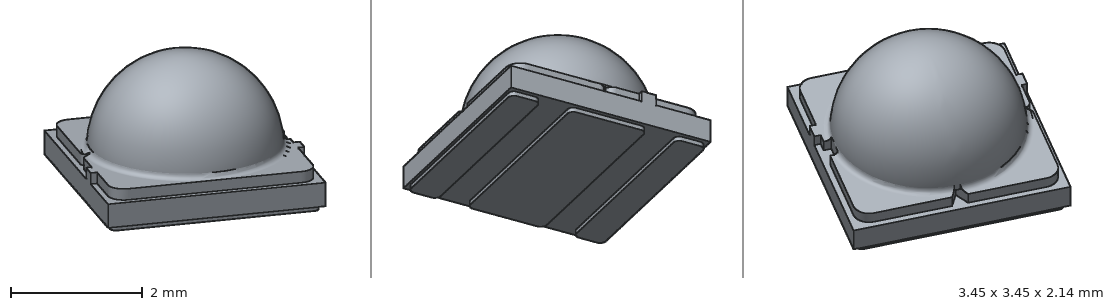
import cadquery as cq
import math

total_height = 2.14
pad_thickness = 0.075
base_thickness = 0.383
layer_thickness = 0.18
base_top = pad_thickness + base_thickness
layer_top = base_top + layer_thickness

base_side = 3.45
layer_side = 3.245
layer_corner_radius = 0.25
base_half = base_side / 2
layer_half = layer_side / 2

lens_x = 0.017
lens_radius = total_height - layer_top
blend_radius = 0.1

tab_width = 0.25
front_tab_x = 0.66
back_tab_x = 0.45

ledge_width = 0.015

notch_height = layer_thickness + blend_radius
back_notch_width = 0.338
side_notch_half_width = 0.128
side_notch_depth = 0.228
front_notch_left = -0.025
front_notch_right = 0.017
front_notch_end = -1.525
front_notch_right_radius = 0.12
front_notch_left_radius = layer_half + front_notch_end

pad_length = 3.305
pad_corner_radius = 0.1
outer_pad_width = 0.507
center_pad_width = 1.315
outer_pad_x = 1.43

cos_45 = math.cos(math.radians(45))


def block(x_min, x_max, y_min, y_max, z_min, height):
    """Box given by its X and Y limits, its bottom and its height."""
    return (
        cq.Workplane("XY")
        .box(x_max - x_min, y_max - y_min, height, centered=False)
        .translate((x_min, y_min, z_min))
    )


def rounded_plate(x_center, width, length, height, corner_radius, z_min):
    """Flat plate with rounded vertical edges, centred on Y = 0."""
    return (
        cq.Workplane("XY")
        .box(width, length, height, centered=(True, True, False))
        .edges("|Z")
        .fillet(corner_radius)
        .translate((x_center, 0, z_min))
    )


def make_pad(x_center, width):
    return rounded_plate(x_center, width, pad_length, pad_thickness, pad_corner_radius, 0)


def make_layer():
    """Lens layer with its tabs and front ledge."""
    layer = rounded_plate(
        0, layer_side, layer_side, layer_thickness, layer_corner_radius, base_top
    )
    for x_center, y_min, y_max in ((front_tab_x, -base_half, 0), (back_tab_x, 0, base_half)):
        x_min = x_center - tab_width / 2
        tab = block(x_min, x_min + tab_width, y_min, y_max, base_top, layer_thickness)
        layer = layer.union(tab)
    ledge = block(
        front_notch_right, front_tab_x, -layer_half - ledge_width, 0, base_top, layer_thickness
    )
    return layer.union(ledge)


def make_blend_ring():
    """Concave fillet ring around the foot of the lens."""
    blend_top = layer_top + blend_radius
    lens_radius_at_blend_top = math.sqrt(lens_radius**2 - blend_radius**2)
    outer_radius = lens_radius_at_blend_top + blend_radius
    mid_offset = blend_radius * cos_45
    return (
        cq.Workplane("XZ")
        .moveTo(0, layer_top)
        .lineTo(outer_radius, layer_top)
        .threePointArc(
            (outer_radius - mid_offset, blend_top - mid_offset),
            (lens_radius_at_blend_top, blend_top),
        )
        .lineTo(0, blend_top)
        .close()
        .revolve(360, (0, 0), (0, 1))
        .translate((lens_x, 0, 0))
    )


def make_lens():
    """Upper half of a sphere resting on the layer, its seam turned to the side notch at -X."""
    return (
        cq.Workplane("XY")
        .sphere(lens_radius, angle1=0)
        .rotate((0, 0, 0), (0, 0, 1), 180)
        .translate((lens_x, 0, layer_top))
    )


def make_back_notch():
    """Straight notch at the back, running in to the rim of the lens."""
    half_width = back_notch_width / 2
    return block(-half_width, half_width, lens_radius, base_half, base_top, notch_height)


def make_side_notch():
    """V-shaped notch on the left side, its point lying under the lens."""
    return (
        cq.Workplane("XY", origin=(0, 0, base_top))
        .moveTo(-layer_half, -side_notch_half_width)
        .lineTo(-layer_half + side_notch_depth, 0)
        .lineTo(-layer_half, side_notch_half_width)
        .close()
        .extrude(notch_height)
    )


def make_front_notch():
    """Narrow notch at the front, with a rounded mouth on both sides."""
    ledge_y = -layer_half - ledge_width
    left_bulge = front_notch_left_radius * (1 - cos_45)
    right_bulge = front_notch_right_radius * (1 - cos_45)
    return (
        cq.Workplane("XY", origin=(0, 0, base_top))
        .moveTo(front_notch_left, front_notch_end)
        .threePointArc(
            (front_notch_left - left_bulge, -layer_half + left_bulge),
            (front_notch_left - front_notch_left_radius, -layer_half),
        )
        .lineTo(front_notch_left - front_notch_left_radius, ledge_y)
        .lineTo(front_notch_right + front_notch_right_radius, ledge_y)
        .threePointArc(
            (front_notch_right + right_bulge, ledge_y + right_bulge),
            (front_notch_right, ledge_y + front_notch_right_radius),
        )
        .lineTo(front_notch_right, front_notch_end)
        .close()
        .extrude(notch_height)
    )


base = block(-base_half, base_half, -base_half, base_half, pad_thickness, base_thickness)
rim = make_layer().union(make_blend_ring())
for notch in (make_back_notch(), make_side_notch(), make_front_notch()):
    rim = rim.cut(notch)

result = base.union(rim).union(make_lens())
for x_center, width in (
    (-outer_pad_x, outer_pad_width),
    (0, center_pad_width),
    (outer_pad_x, outer_pad_width),
):
    result = result.union(make_pad(x_center, width))